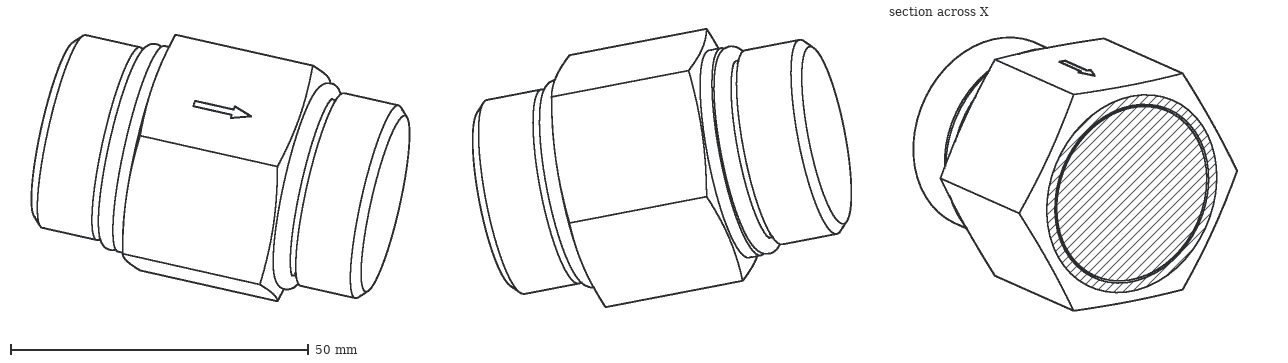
import cadquery as cq
import math

LENGTH = 57.65
END_X = LENGTH / 2

THREAD_RADIUS = 33.3 / 2
END_FACE_RADIUS = 30.4 / 2
END_CHAMFER = THREAD_RADIUS - END_FACE_RADIUS

GROOVE_RADIUS = 30.4 / 2
SHOULDER_X = 13.85
THREAD_START_X = 17.8
GROOVE_WALL_ANGLE = math.radians(60)
GROOVE_FILLET = 1.2 / 2

HEX_ACROSS_FLATS = 38.1
HEX_ACROSS_CORNERS = HEX_ACROSS_FLATS / math.cos(math.radians(30))
HEX_LEFT_X = -11.75
HEX_RIGHT_X = SHOULDER_X
HEX_LENGTH = HEX_RIGHT_X - HEX_LEFT_X
HEX_CHAMFER_ANGLE = math.radians(15)
COLLAR_RADIUS = 35.6 / 2

RING_OUTER_RADIUS = 35.6 / 2
RING_SECTION_RADIUS = 1.45
RING_CENTRE_RADIUS = RING_OUTER_RADIUS - RING_SECTION_RADIUS
RING_X = SHOULDER_X + RING_SECTION_RADIUS

ARROW_TAIL_X = -4.05
ARROW_HEAD_X = 2.7
ARROW_TIP_X = 5.95
ARROW_Y = -2.0
ARROW_SHAFT_WIDTH = 1.15
ARROW_HEAD_WIDTH = 2.55
ARROW_DEPTH = 0.1


def revolve_about_x(profile):
    """Full turn about X of a closed profile whose first coordinate is X and second is radius."""
    return profile.revolve(360, (0, 0, 0), (1, 0, 0))


def make_threaded_end(side):
    """Turned core on the -X (-1) or +X (1) side: groove floor, sloped wall, plain end, chamfer."""
    drop = THREAD_RADIUS - GROOVE_RADIUS
    wall_foot_x = THREAD_START_X - drop / math.tan(GROOVE_WALL_ANGLE)

    half_angle = GROOVE_WALL_ANGLE / 2
    tangent = GROOVE_FILLET * math.tan(half_angle)
    floor_tangent_x = wall_foot_x - tangent
    wall_tangent_x = wall_foot_x + tangent * math.cos(GROOVE_WALL_ANGLE)
    wall_tangent_radius = GROOVE_RADIUS + tangent * math.sin(GROOVE_WALL_ANGLE)
    fillet_middle_x = floor_tangent_x + GROOVE_FILLET * math.sin(half_angle)
    fillet_middle_radius = GROOVE_RADIUS + GROOVE_FILLET * (1 - math.cos(half_angle))

    profile = (
        cq.Workplane("XY")
        .moveTo(0, 0)
        .lineTo(0, GROOVE_RADIUS)
        .lineTo(side * floor_tangent_x, GROOVE_RADIUS)
        .threePointArc(
            (side * fillet_middle_x, fillet_middle_radius),
            (side * wall_tangent_x, wall_tangent_radius),
        )
        .lineTo(side * THREAD_START_X, THREAD_RADIUS)
        .lineTo(side * (END_X - END_CHAMFER), THREAD_RADIUS)
        .lineTo(side * END_X, END_FACE_RADIUS)
        .lineTo(side * END_X, 0)
        .close()
    )
    return revolve_about_x(profile)


def make_hexagon():
    """Hexagon with flats at top and bottom, its corners cut by a shallow cone at each end."""
    prism = (
        cq.Workplane("YZ", origin=(HEX_LEFT_X, 0, 0))
        .polygon(6, HEX_ACROSS_CORNERS)
        .extrude(HEX_LENGTH)
    )
    flat_radius = HEX_ACROSS_FLATS / 2
    corner_radius = HEX_ACROSS_CORNERS / 2
    chamfer_length = (corner_radius - flat_radius) * math.tan(HEX_CHAMFER_ANGLE)
    envelope = revolve_about_x(
        cq.Workplane("XY")
        .moveTo(HEX_LEFT_X, 0)
        .lineTo(HEX_LEFT_X, flat_radius)
        .lineTo(HEX_LEFT_X + chamfer_length, corner_radius)
        .lineTo(HEX_RIGHT_X - chamfer_length, corner_radius)
        .lineTo(HEX_RIGHT_X, flat_radius)
        .lineTo(HEX_RIGHT_X, 0)
        .close()
    )
    return prism.intersect(envelope)


def make_collar():
    """Round collar between the left groove and the hexagon."""
    return (
        cq.Workplane("YZ", origin=(-SHOULDER_X, 0, 0))
        .circle(COLLAR_RADIUS)
        .extrude(HEX_LEFT_X + SHOULDER_X)
    )


def make_arrow():
    """Cutter for the flow arrow, which points along +X."""
    shaft = ARROW_SHAFT_WIDTH / 2
    head = ARROW_HEAD_WIDTH / 2
    return (
        cq.Workplane("XY", origin=(0, ARROW_Y, HEX_ACROSS_FLATS / 2))
        .moveTo(ARROW_TAIL_X, -shaft)
        .lineTo(ARROW_HEAD_X, -shaft)
        .lineTo(ARROW_HEAD_X, -head)
        .lineTo(ARROW_TIP_X, 0)
        .lineTo(ARROW_HEAD_X, head)
        .lineTo(ARROW_HEAD_X, shaft)
        .lineTo(ARROW_TAIL_X, shaft)
        .close()
        .extrude(-ARROW_DEPTH)
    )


def make_seal_ring(side):
    """Round-section seal ring lying against the groove shoulder."""
    return cq.Workplane(
        cq.Solid.makeTorus(
            RING_CENTRE_RADIUS,
            RING_SECTION_RADIUS,
            cq.Vector(side * RING_X, 0, 0),
            cq.Vector(1, 0, 0),
        )
    )


def make_housing(seal_rings):
    """Fitting body in one piece, with a rounded seat in each groove floor for its seal ring."""
    body = make_hexagon().union(make_collar())
    for side in (-1, 1):
        body = body.union(make_threaded_end(side))
    body = body.cut(make_arrow())
    for ring in seal_rings:
        body = body.cut(ring)
    return body


seal_rings = [make_seal_ring(side) for side in (-1, 1)]
housing = make_housing(seal_rings)

result = cq.Compound.makeCompound([housing.solids().val(), *[ring.val() for ring in seal_rings]])